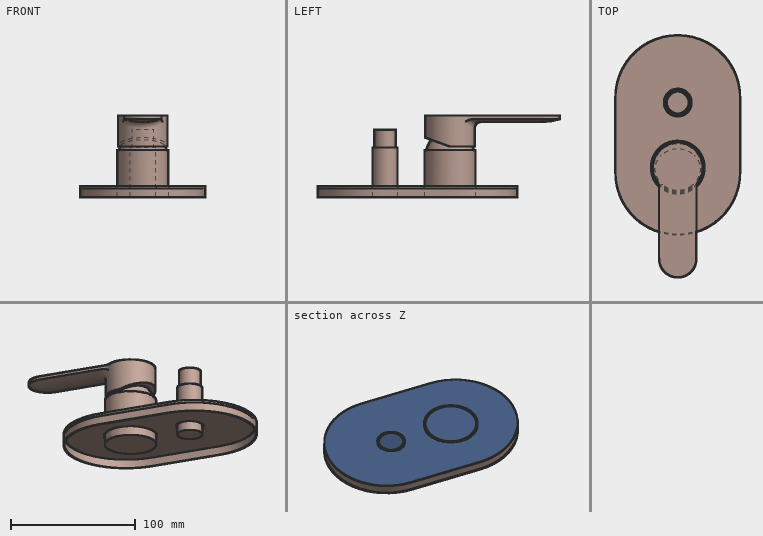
import cadquery as cq
import math

plate_width = 100.05
plate_length = 160.0
plate_thickness = 9.2
plate_roof = 2.0
plate_wall = 0.75

control_offset = 26.0
diverter_y = control_offset
mixer_y = -control_offset

diverter_sleeve_radius = 10.1
diverter_sleeve_top = 40.0
diverter_hole_radius = 10.9
knob_radius = 8.8
knob_top = 54.2

mixer_sleeve_radius = 20.6
mixer_sleeve_top = 37.8
mixer_hole_radius = 21.3

overall_height = 65.56
cap_radius = 20.0
cap_height = 25.0
cap_bottom = overall_height - cap_height
cap_relief_angle = 19.8
ball_radius = 19.65
ball_centre_z = 33.3

lever_reach = 88.0
lever_half_width = 15.0
lever_tip_centre = lever_reach - lever_half_width
blank_half_width = 16.8
lever_depth = 5.4
underside_radius = 50.0
neck_radius = 10.0
root_fillet = 4.5
top_edge_fillet = 0.5


def upright_cylinder(y, radius, bottom, top):
    return cq.Workplane("XY", origin=(0, y, bottom)).circle(radius).extrude(top - bottom)


def make_plate():
    cover = cq.Workplane("XY").slot2D(plate_length, plate_width, 90).extrude(plate_thickness)
    hollow = (
        cq.Workplane("XY")
        .slot2D(plate_length - 2 * plate_wall, plate_width - 2 * plate_wall, 90)
        .extrude(plate_thickness - plate_roof)
    )
    diverter_hole = upright_cylinder(diverter_y, diverter_hole_radius, 0, plate_thickness)
    mixer_hole = upright_cylinder(mixer_y, mixer_hole_radius, 0, plate_thickness)
    return cover.cut(hollow).cut(diverter_hole).cut(mixer_hole)


def make_handle_outline():
    """Plan shape of the whole handle, over the cap's full height."""
    neck_centre_x = lever_half_width + neck_radius
    neck_centre_dy = -math.sqrt((cap_radius + neck_radius) ** 2 - neck_centre_x ** 2)
    tangent_ratio = cap_radius / (cap_radius + neck_radius)
    neck_start_x = neck_centre_x * tangent_ratio
    neck_start_dy = neck_centre_dy * tangent_ratio
    toward_cap = math.atan2(-neck_centre_dy, -neck_centre_x)
    toward_lever = math.pi
    middle_angle = (toward_cap + toward_lever) / 2
    neck_middle_x = neck_centre_x + neck_radius * math.cos(middle_angle)
    neck_middle_dy = neck_centre_dy + neck_radius * math.sin(middle_angle)

    return (
        cq.Workplane("XY", origin=(0, mixer_y, cap_bottom))
        .moveTo(0, cap_radius)
        .threePointArc((-cap_radius, 0), (-neck_start_x, neck_start_dy))
        .threePointArc((-neck_middle_x, neck_middle_dy), (-lever_half_width, neck_centre_dy))
        .lineTo(-lever_half_width, -lever_tip_centre)
        .threePointArc((0, -lever_reach), (lever_half_width, -lever_tip_centre))
        .lineTo(lever_half_width, neck_centre_dy)
        .threePointArc((neck_middle_x, neck_middle_dy), (neck_start_x, neck_start_dy))
        .threePointArc((cap_radius, 0), (0, cap_radius))
        .close()
        .extrude(cap_height)
    )


def make_lever_blank():
    """Over-wide lever with its convex underside: a slab cut from a round-ended bar."""
    bar_centre_z = overall_height - lever_depth + underside_radius
    bar = (
        cq.Workplane("XZ", origin=(0, mixer_y, bar_centre_z))
        .circle(underside_radius)
        .extrude(lever_tip_centre)
    )
    bar_end = cq.Workplane("XY", origin=(0, mixer_y - lever_tip_centre, bar_centre_z)).sphere(underside_radius)
    slab = (
        cq.Workplane("XY", origin=(0, mixer_y, overall_height - lever_depth))
        .rect(2 * blank_half_width, 2 * lever_reach)
        .extrude(lever_depth)
    )
    return slab.intersect(bar.union(bar_end))


def make_cap_relief():
    rise = cap_radius * math.tan(math.radians(cap_relief_angle))
    return (
        cq.Workplane("YZ", origin=(-cap_radius, mixer_y, cap_bottom))
        .polyline([(0, 0), (cap_radius, 0), (cap_radius, rise)])
        .close()
        .extrude(2 * cap_radius)
    )


def make_ball():
    """Part of the ball that stands above the mixer sleeve."""
    ball = cq.Workplane("XY", origin=(0, mixer_y, ball_centre_z)).sphere(ball_radius)
    return ball.intersect(
        upright_cylinder(mixer_y, ball_radius, mixer_sleeve_top, overall_height - lever_depth)
    )


def make_handle():
    cap = upright_cylinder(mixer_y, cap_radius, cap_bottom, overall_height)
    body = cap.union(make_lever_blank())
    root_zone = cq.selectors.BoxSelector(
        (-lever_half_width, mixer_y - cap_radius - root_fillet, overall_height - 2 * lever_depth),
        (lever_half_width, mixer_y - lever_half_width, overall_height - root_fillet / 2),
    )
    body = body.edges(root_zone).fillet(root_fillet)
    body = body.intersect(make_handle_outline())
    body = body.faces(">Z").edges().fillet(top_edge_fillet)
    return body.cut(make_cap_relief()).union(make_ball())


plate = make_plate()
diverter_sleeve = upright_cylinder(diverter_y, diverter_sleeve_radius, 0, diverter_sleeve_top)
knob = upright_cylinder(diverter_y, knob_radius, diverter_sleeve_top, knob_top)
mixer_sleeve = upright_cylinder(mixer_y, mixer_sleeve_radius, 0, mixer_sleeve_top)
handle = make_handle()

result = cq.Compound.makeCompound([
    plate.val(), diverter_sleeve.val(), knob.val(), mixer_sleeve.val(), handle.val(),
])